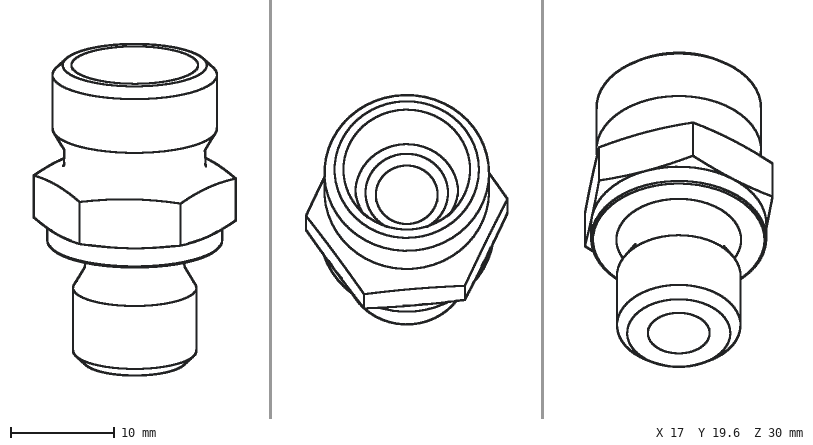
import cadquery as cq
import math

total_height = 30.0
hex_top = 19.0
hex_bottom = 14.0
collar_bottom = 12.0
upper_thread_bottom = 23.55
lower_thread_top = 7.38

across_flats = 17.0
collar_radius = across_flats / 2
collar_chamfer = 0.18
upper_thread_radius = 16.0 / 2
lower_thread_radius = 12.0 / 2
thread_chamfer = 1.0
hex_chamfer_angle = math.radians(15)

upper_neck_radius = 13.7 / 2
shoulder_fillet = 1.0
lower_neck_radius = 4.83
groove_fillet = 1.1
thread_runout_angle = math.radians(30)
collar_slope_angle = math.radians(35)
collar_slope_radius = 6.05

bore_radius = 6.0 / 2
socket_radius = 10.0 / 2
socket_mouth_radius = 6.15
socket_depth = 7.0
socket_cone_angle = math.radians(12)
bore_mouth_radius = 8.0 / 2
bore_mouth_angle = math.radians(60)


def groove_arc_point(neck_radius, fillet, center_z, angle):
    """Point on a groove fillet, at an angle above the plane of its centre."""
    radius = neck_radius + fillet * (1 - math.cos(angle))
    return radius, center_z + fillet * math.sin(angle)


def upper_body():
    """Revolved upper thread, relief neck and shoulder fillet."""
    runout_width = upper_thread_radius - upper_neck_radius
    fillet_rise = shoulder_fillet * (1 - math.cos(thread_runout_angle))
    cone_bottom = upper_thread_bottom - (runout_width - fillet_rise) / math.tan(thread_runout_angle)
    arc_start = cone_bottom - shoulder_fillet * math.sin(thread_runout_angle)

    def neck_arc(angle):
        return groove_arc_point(upper_neck_radius, shoulder_fillet, arc_start, angle)

    shoulder_z = hex_top + shoulder_fillet
    return (
        cq.Workplane("XZ")
        .moveTo(0, hex_bottom)
        .lineTo(upper_neck_radius + shoulder_fillet, hex_bottom)
        .lineTo(upper_neck_radius + shoulder_fillet, hex_top)
        .threePointArc(
            groove_arc_point(upper_neck_radius, shoulder_fillet, shoulder_z, -math.radians(45)),
            (upper_neck_radius, shoulder_z),
        )
        .lineTo(upper_neck_radius, arc_start)
        .threePointArc(neck_arc(thread_runout_angle / 2), neck_arc(thread_runout_angle))
        .lineTo(upper_thread_radius, upper_thread_bottom)
        .lineTo(upper_thread_radius, total_height - thread_chamfer)
        .lineTo(upper_thread_radius - thread_chamfer, total_height)
        .lineTo(0, total_height)
        .close()
        .revolve(360, (0, 0), (0, 1))
    )


def lower_body():
    """Revolved lower thread, rounded relief groove and round collar."""
    fillet_rise = groove_fillet * (1 - math.cos(thread_runout_angle))
    runout_width = lower_thread_radius - lower_neck_radius - fillet_rise
    cone_top = lower_thread_top + runout_width / math.tan(thread_runout_angle)
    center_z = cone_top + groove_fillet * math.sin(thread_runout_angle)

    def neck_arc(angle):
        return groove_arc_point(lower_neck_radius, groove_fillet, center_z, angle)

    return (
        cq.Workplane("XZ")
        .lineTo(lower_thread_radius - thread_chamfer, 0)
        .lineTo(lower_thread_radius, thread_chamfer)
        .lineTo(lower_thread_radius, lower_thread_top)
        .lineTo(*neck_arc(-thread_runout_angle))
        .threePointArc(neck_arc(0), neck_arc(collar_slope_angle))
        .lineTo(collar_slope_radius, collar_bottom)
        .lineTo(collar_radius - collar_chamfer, collar_bottom)
        .lineTo(collar_radius, collar_bottom + collar_chamfer)
        .lineTo(collar_radius, hex_bottom)
        .lineTo(0, hex_bottom)
        .close()
        .revolve(360, (0, 0), (0, 1))
    )


def hexagon():
    """Hexagon with flats facing X and conical chamfers on both ends."""
    corner_radius = across_flats / math.sqrt(3)
    corner_drop = (corner_radius - collar_radius) * math.tan(hex_chamfer_angle)
    prism = (
        cq.Workplane("XY", origin=(0, 0, hex_bottom))
        .polygon(6, 2 * corner_radius)
        .extrude(hex_top - hex_bottom)
        .rotate((0, 0, 0), (0, 0, 1), 30)
    )
    chamfer_envelope = (
        cq.Workplane("XZ")
        .moveTo(0, hex_bottom)
        .lineTo(collar_radius, hex_bottom)
        .lineTo(corner_radius, hex_bottom + corner_drop)
        .lineTo(corner_radius, hex_top - corner_drop)
        .lineTo(collar_radius, hex_top)
        .lineTo(0, hex_top)
        .close()
        .revolve(360, (0, 0), (0, 1))
    )
    return prism.intersect(chamfer_envelope)


def inner_passage():
    """Through bore with a conical mouth, opening into the tapered tube socket."""
    socket_floor = total_height - socket_depth
    bore_mouth_bottom = socket_floor - (bore_mouth_radius - bore_radius) / math.tan(bore_mouth_angle)
    cone_bottom = total_height - (socket_mouth_radius - socket_radius) / math.tan(socket_cone_angle)
    return (
        cq.Workplane("XZ")
        .lineTo(bore_radius, 0)
        .lineTo(bore_radius, bore_mouth_bottom)
        .lineTo(bore_mouth_radius, socket_floor)
        .lineTo(socket_radius, socket_floor)
        .lineTo(socket_radius, cone_bottom)
        .lineTo(socket_mouth_radius, total_height)
        .lineTo(0, total_height)
        .close()
        .revolve(360, (0, 0), (0, 1))
    )


result = lower_body().union(hexagon()).union(upper_body()).cut(inner_passage())